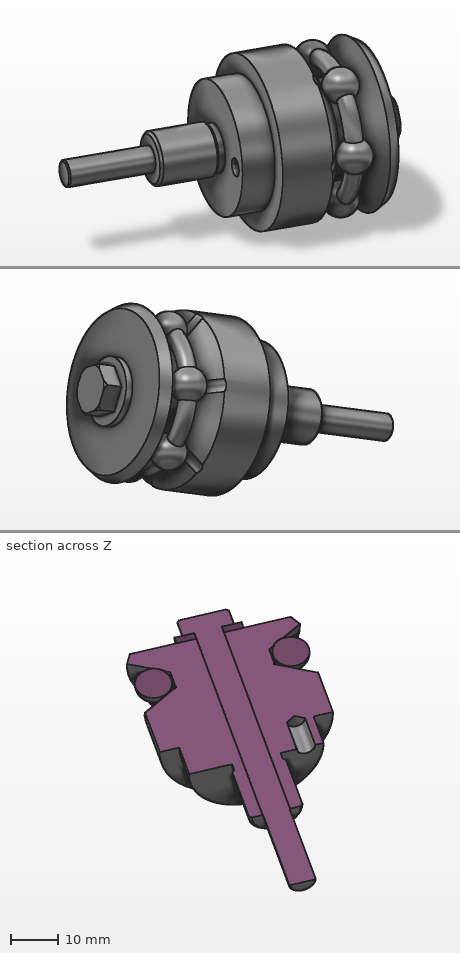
import cadquery as cq
import math


wheel_diameter = 38.5
wheel_radius = wheel_diameter / 2
groove_width = 13.2
groove_wall_angle = 60.0
groove_floor_radius = 11.0
rim_thickness = 2.5
rim_face_diameter = 35.8
drum_length = 11.6
boss_diameter = 29.9
boss_length = 7.5

relief_diameter = 10.9
relief_length = 1.4
stub_diameter = 12.0
stub_length = 13.6
stub_chamfer = 0.6

hole_diameter = 4.0
hole_offset = 11.0
hole_depth = 7.55
hole_tip_angle = 118.0

bead_count = 6
bead_diameter = 8.0
link_diameter = 4.0
chain_radius = wheel_radius - bead_diameter / 2

slot_diameter = 6.05
slot_depth = 0.4

washer_diameter = 14.95
washer_thickness = 1.6

hex_flats = 10.0
hex_height = 4.2
hex_chamfer = 0.5
shank_diameter = 6.0
shank_reach = 19.85
shank_chamfer = 0.3

groove_half_width = groove_width / 2
rim_face_y = groove_half_width + rim_thickness
washer_face_y = rim_face_y + washer_thickness
head_top_y = washer_face_y + hex_height
drum_end_y = -groove_half_width - drum_length
boss_end_y = drum_end_y - boss_length
stub_start_y = boss_end_y - relief_length
stub_end_y = stub_start_y - stub_length
shank_end_y = stub_end_y - shank_reach

groove_wall_slope = 1 / math.tan(math.radians(groove_wall_angle))
floor_half_width = groove_half_width - (wheel_radius - groove_floor_radius) * groove_wall_slope


def cylinder(diameter, start_y, length):
    """Cylinder on the Y axis, running from start_y toward -Y."""
    return cq.Workplane("XZ", origin=(0, start_y, 0)).circle(diameter / 2).extrude(length)


def revolve_about_y(points):
    """Revolve a closed outline of (radius, y) points about the Y axis."""
    return cq.Workplane("XY").polyline(points).close().revolve(360, (0, 0, 0), (0, 1, 0))


def bead_angles():
    return [i * 360 / bead_count for i in range(bead_count)]


def make_chain():
    """Closed loop of beads joined by round links, all one body."""
    links = cq.Solid.makeTorus(chain_radius, link_diameter / 2, cq.Vector(0, 0, 0), cq.Vector(0, 1, 0))
    chain = cq.Workplane(links)
    bead = cq.Workplane("XY").sphere(bead_diameter / 2).translate((chain_radius, 0, 0))
    for angle in bead_angles():
        chain = chain.union(bead.rotate((0, 0, 0), (0, 1, 0), angle))
    return chain


def make_relief_slot():
    """Round bar lying along the drum-side groove wall, sunk slot_depth into it, on the +X side."""
    wall = cq.Vector(math.sin(math.radians(groove_wall_angle)), -math.cos(math.radians(groove_wall_angle)), 0)
    out_of_wall = cq.Vector(-wall.y, wall.x, 0)
    rim_edge = cq.Vector(wheel_radius, -groove_half_width, 0)
    wall_length = (wheel_radius - groove_floor_radius) / wall.x
    axis_start = rim_edge - wall * wall_length + out_of_wall * (slot_diameter / 2 - slot_depth)
    return cq.Workplane(cq.Solid.makeCylinder(slot_diameter / 2, 2 * wall_length, axis_start, wall))


def make_drilled_hole():
    radius = hole_diameter / 2
    tip_length = radius / math.tan(math.radians(hole_tip_angle / 2))
    floor_y = boss_end_y + hole_depth
    outline = [(0, boss_end_y), (radius, boss_end_y), (radius, floor_y), (0, floor_y + tip_length)]
    return revolve_about_y(outline).translate((hole_offset, 0, 0))


def make_stub():
    stub = cylinder(stub_diameter, stub_start_y, stub_length).edges().chamfer(stub_chamfer)
    return stub.union(cylinder(relief_diameter, boss_end_y, relief_length))


def make_wheel(chain, bolt):
    """Grooved rim, drum, boss and stub in one piece, bored for the bolt."""
    wheel = revolve_about_y([
        (0, rim_face_y),
        (rim_face_diameter / 2, rim_face_y),
        (wheel_radius, groove_half_width),
        (groove_floor_radius, floor_half_width),
        (groove_floor_radius, -floor_half_width),
        (wheel_radius, -groove_half_width),
        (wheel_radius, drum_end_y),
        (boss_diameter / 2, drum_end_y),
        (boss_diameter / 2, boss_end_y),
        (0, boss_end_y),
    ])
    slot = make_relief_slot()
    for angle in bead_angles():
        wheel = wheel.cut(slot.rotate((0, 0, 0), (0, 1, 0), angle))
    wheel = wheel.union(make_stub()).cut(make_drilled_hole())
    return wheel.cut(chain).cut(bolt)


def make_washer(bolt):
    return cylinder(washer_diameter, washer_face_y, washer_thickness).cut(bolt)


def make_bolt():
    """Hex head on the washer, two corners on the X axis, with a shank through the whole wheel."""
    corner_diameter = hex_flats / math.cos(math.pi / 6)
    hexagon = cq.Workplane("XZ", origin=(0, head_top_y, 0)).polygon(6, corner_diameter).extrude(hex_height)
    chamfered_blank = cylinder(corner_diameter, head_top_y, hex_height).faces(">Y").chamfer(hex_chamfer)
    shank = cylinder(shank_diameter, washer_face_y, washer_face_y - shank_end_y)
    return hexagon.intersect(chamfered_blank).union(shank.faces("<Y").chamfer(shank_chamfer))


chain = make_chain()
bolt = make_bolt()
washer = make_washer(bolt)
wheel = make_wheel(chain, bolt)

result = cq.Compound.makeCompound([wheel.val(), chain.val(), washer.val(), bolt.val()])